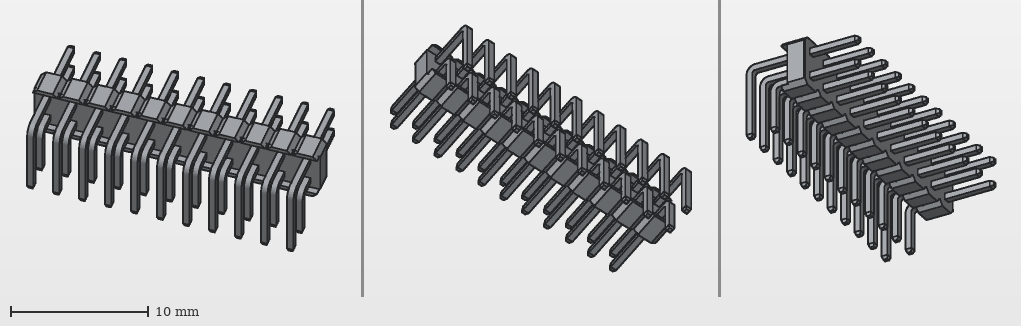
import cadquery as cq


body_length = 22.0
pin_count = 11
pitch = body_length / pin_count
row_pitch = pitch
body_height = 2 * pitch
body_depth = 2.02
groove_depth = 0.4
flange_thickness = 0.33
front_channel_depth = 0.55
end_chamfer = 0.09
end_chamfer_height = 3.08

pin_width = pitch / 4
bend_inner_radius = 0.25
tip_length = 0.26
tip_width = 0.3
rear_reach = 4.0
overall_depth = 9.3
overall_height = 6.8

half_height = body_height / 2
channel_height = body_height - 2 * flange_thickness
tail_end_z = half_height - overall_height
outer_tail_y = rear_reach - overall_depth + pin_width / 2
inner_tail_y = outer_tail_y + row_pitch
first_pin_x = (pitch - body_length) / 2
pin_xs = [first_pin_x + i * pitch for i in range(pin_count)]


def make_segment(x):
    """One octagonal housing segment, running from the rear face to the front."""
    half_pitch = pitch / 2
    half_flat = half_pitch - groove_depth
    shoulder = half_height - groove_depth
    outline = [
        (x - half_flat, half_height),
        (x + half_flat, half_height),
        (x + half_pitch, shoulder),
        (x + half_pitch, -shoulder),
        (x + half_flat, -half_height),
        (x - half_flat, -half_height),
        (x - half_pitch, -shoulder),
        (x - half_pitch, shoulder),
    ]
    return cq.Workplane("XZ").polyline(outline).close().extrude(body_depth)


def make_front_channel():
    """Cutter that clears the front of the housing between the two flanges."""
    center_y = front_channel_depth / 2 - body_depth
    return (
        cq.Workplane("XY")
        .box(body_length, front_channel_depth, channel_height)
        .translate((0, center_y, 0))
    )


def make_end_chamfer(side):
    """Cutter for the upright rear edge at one end (side is -1 or 1)."""
    end_x = side * body_length / 2
    corner = [(end_x, 0), (end_x - side * end_chamfer, 0), (end_x, -end_chamfer)]
    return cq.Workplane("XY").polyline(corner).close().extrude(end_chamfer_height / 2, both=True)


def make_housing():
    housing = make_segment(pin_xs[0])
    for x in pin_xs[1:]:
        housing = housing.union(make_segment(x))
    housing = housing.cut(make_front_channel())
    for side in (-1, 1):
        housing = housing.cut(make_end_chamfer(side))
    return housing


def make_tip(start_plane):
    """Square tapered pin tip, growing along the normal of its start plane."""
    return (
        cq.Workplane(start_plane)
        .rect(pin_width, pin_width)
        .workplane(offset=tip_length)
        .rect(tip_width, tip_width)
        .loft(ruled=True)
    )


def make_pin(row_z, tail_y):
    """Square pin bent through a right angle, centred on x = 0."""
    half_width = pin_width / 2
    top_z = row_z + half_width
    bottom_z = row_z - half_width
    front_y = tail_y - half_width
    back_y = tail_y + half_width
    rear_end_y = rear_reach - tip_length
    lower_end_z = tail_end_z + tip_length
    bend_outer_radius = bend_inner_radius + pin_width

    bar = (
        cq.Workplane("YZ")
        .moveTo(rear_end_y, top_z)
        .lineTo(front_y + bend_outer_radius, top_z)
        .radiusArc((front_y, top_z - bend_outer_radius), -bend_outer_radius)
        .lineTo(front_y, lower_end_z)
        .lineTo(back_y, lower_end_z)
        .lineTo(back_y, bottom_z - bend_inner_radius)
        .radiusArc((back_y + bend_inner_radius, bottom_z), bend_inner_radius)
        .lineTo(rear_end_y, bottom_z)
        .close()
        .extrude(half_width, both=True)
    )
    rear_plane = cq.Plane(origin=(0, rear_end_y, row_z), xDir=(1, 0, 0), normal=(0, 1, 0))
    lower_plane = cq.Plane(origin=(0, tail_y, lower_end_z), xDir=(1, 0, 0), normal=(0, 0, -1))
    return bar.union(make_tip(rear_plane)).union(make_tip(lower_plane))


upper_pin = make_pin(row_pitch / 2, outer_tail_y)
lower_pin = make_pin(-row_pitch / 2, inner_tail_y)

result = make_housing()
for x in pin_xs:
    result = result.union(upper_pin.translate((x, 0, 0)))
    result = result.union(lower_pin.translate((x, 0, 0)))